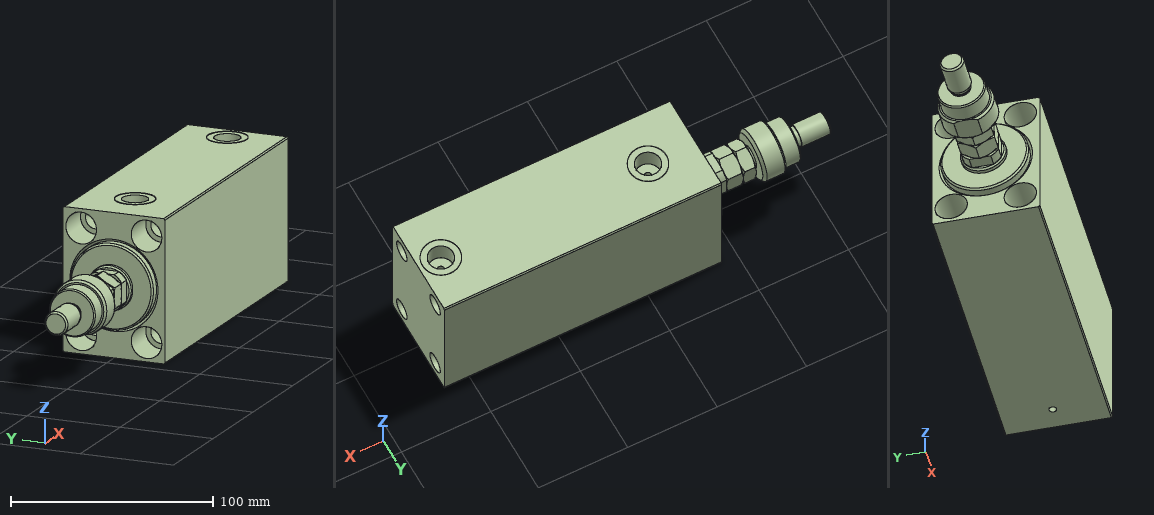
import cadquery as cq
import math


total_length = 228.0
housing_length = 155.0
housing_width = 55.0
housing_height = 75.0
housing_chamfer = 0.7
housing_front = total_length - housing_length

hole_pitch_y = 35.0
hole_pitch_z = 55.0
hole_diameter = 11.0
counterbore_diameter = 16.5
counterbore_depth = 18.2

front_port_inset = 26.7
rear_port_inset = 12.5
spotface_diameter = 20.5
spotface_depth = 0.2
port_diameter = 13.5
port_depth = 11.5
passage_diameter = 3.6

gland_diameter = 44.7
gland_projection = 3.5
gland_depth = 11.5
gland_chamfer = 1.0
bore_chamfer = 1.4

rod_diameter = 23.3
rod_chamfer = 1.0
rod_shoulder = 66.8
rod_end = 136.8
rod_head_diameter = 22.0
rod_socket_depth = 9.1

across_flats = 19.0
hex_bevel_angle = 30.0
hex_half_sector = 30.0
across_corners = across_flats / math.cos(math.radians(hex_half_sector))
hex_bevel = (across_corners - across_flats) / 2 * math.tan(math.radians(hex_bevel_angle))

nut_start = 51.3
nut_end = 60.6

thread_diameter = 12.3
thread_length = 16.6
thread_chamfer = 1.0
relief_diameter = 11.0
relief_end = 19.2
neck_diameter = 10.0
case_start = 20.3
case_diameter = 24.6
case_chamfer = 0.7
collar_start = 29.5
collar_end = 42.2
collar_diameter = 28.7
collar_front_chamfer = 1.1
collar_rear_chamfer = 1.5
collar_flat_height = 13.0
stem_diameter = 12.3
stem_hex_start = 44.0


def rod_bar(start, end, diameter):
    """Round bar along X between two stations."""
    return cq.Workplane("YZ", origin=(start, 0, 0)).circle(diameter / 2).extrude(end - start)


def hexagon(start, end):
    """Hexagonal bar along X with corners up and down, its corners bevelled at both ends."""
    prism = (
        cq.Workplane("YZ", origin=(start, 0, 0))
        .polygon(6, across_corners)
        .extrude(end - start)
        .rotate((0, 0, 0), (1, 0, 0), hex_half_sector)
    )
    face_radius = across_flats / 2
    corner_radius = across_corners / 2
    envelope = (
        cq.Workplane("XY")
        .moveTo(start, 0)
        .lineTo(start, face_radius)
        .lineTo(start + hex_bevel, corner_radius)
        .lineTo(end - hex_bevel, corner_radius)
        .lineTo(end, face_radius)
        .lineTo(end, 0)
        .close()
        .revolve(360, (0, 0, 0), (1, 0, 0))
    )
    return prism.intersect(envelope)


def drill_down(x, diameter, depth):
    """Cutter for a vertical hole sunk into the top face at station x."""
    top = housing_height / 2
    return cq.Workplane("XY", origin=(x, 0, top - depth)).circle(diameter / 2).extrude(depth)


def port(x, passage_depth):
    """Cutter for a spotfaced port with a small passage below it."""
    return (
        drill_down(x, spotface_diameter, spotface_depth)
        .union(drill_down(x, port_diameter, port_depth))
        .union(drill_down(x, passage_diameter, passage_depth))
    )


def make_housing():
    body = (
        cq.Workplane("XY")
        .box(housing_length, housing_width, housing_height)
        .translate((housing_front + housing_length / 2, 0, 0))
        .edges("|X")
        .chamfer(housing_chamfer)
    )

    body = (
        body.faces("<X")
        .workplane(centerOption="CenterOfBoundBox")
        .rarray(hole_pitch_y, hole_pitch_z, 2, 2)
        .cboreHole(hole_diameter, counterbore_diameter, counterbore_depth)
    )

    seat = rod_bar(housing_front, housing_front + gland_depth, gland_diameter)
    seat_radius = gland_diameter / 2
    mouth = cq.Solid.makeCone(
        seat_radius + bore_chamfer,
        seat_radius,
        bore_chamfer,
        pnt=cq.Vector(housing_front, 0, 0),
        dir=cq.Vector(1, 0, 0),
    )
    body = body.cut(seat).cut(mouth)
    body = body.cut(rod_bar(housing_front, rod_end, rod_diameter))

    body = body.cut(port(housing_front + front_port_inset, housing_height / 2))
    return body.cut(port(total_length - rear_port_inset, housing_height))


def make_gland():
    start = housing_front - gland_projection
    end = housing_front + gland_depth
    ring = rod_bar(start, end, gland_diameter).faces("<X").chamfer(gland_chamfer)
    return ring.cut(rod_bar(start, end, rod_diameter))


def make_rod():
    shaft = rod_bar(rod_shoulder, rod_end, rod_diameter).faces("<X").chamfer(rod_chamfer)
    head_length = rod_shoulder - nut_end
    head = rod_bar(nut_end, rod_shoulder, rod_head_diameter).intersect(
        cq.Workplane("YZ", origin=(nut_end, 0, 0)).rect(across_flats, across_flats).extrude(head_length)
    )
    socket = rod_bar(nut_end, nut_end + rod_socket_depth, stem_diameter)
    return shaft.union(head).cut(socket)


def make_lock_nut():
    return hexagon(nut_start, nut_end).cut(rod_bar(nut_start, nut_end, stem_diameter))


def make_collar():
    collar = (
        rod_bar(collar_start, collar_end, collar_diameter)
        .faces("<X")
        .chamfer(collar_front_chamfer)
        .faces(">X")
        .chamfer(collar_rear_chamfer)
    )
    flat_cutter = (
        cq.Workplane("XY", origin=(collar_start, 0, -collar_flat_height))
        .rect(2 * (collar_end - collar_start), collar_diameter)
        .extrude(-collar_diameter)
    )
    return collar.cut(flat_cutter)


def make_floating_joint():
    stud = rod_bar(0, thread_length, thread_diameter).faces("<X").chamfer(thread_chamfer)
    relief = rod_bar(thread_length, relief_end, relief_diameter)
    neck = rod_bar(relief_end, case_start, neck_diameter)
    case = rod_bar(case_start, collar_start, case_diameter).faces("<X").chamfer(case_chamfer)
    stem = rod_bar(collar_end, nut_end + rod_socket_depth, stem_diameter)
    return (
        stud.union(relief)
        .union(neck)
        .union(case)
        .union(make_collar())
        .union(stem)
        .union(hexagon(stem_hex_start, nut_start))
    )


housing = make_housing()
gland = make_gland()
rod = make_rod()
lock_nut = make_lock_nut()
floating_joint = make_floating_joint()

result = cq.Compound.makeCompound(
    [housing.val(), gland.val(), rod.val(), lock_nut.val(), floating_joint.val()]
)